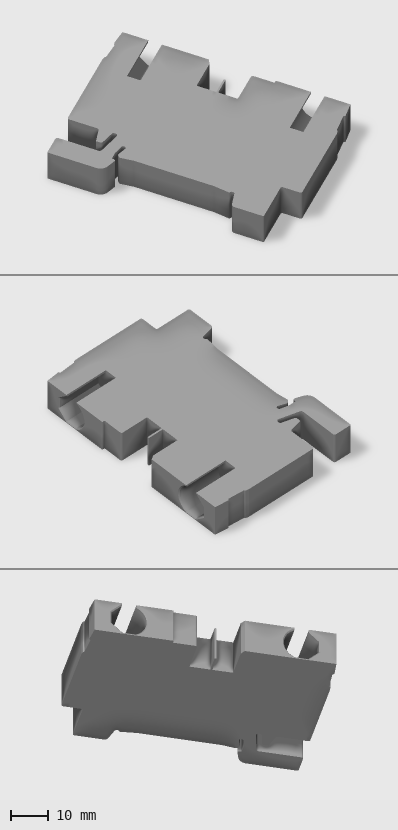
import cadquery as cq
import math

length = 67.8
depth = 48.0
thickness = 10.1
half_length = length / 2

shoulder_y = -10.25
body_bottom_y = -34.7
top_inset = 0.95
ridge_y = -4.4
ridge_inset = 0.5
ridge_height = 0.35
shoulder_inset = 0.55
shoulder_bevel = 0.2
lead_in_inset = 0.2
lead_in_length = 1.0
small_round = 0.3

recess_left = -7.2
recess_right = 4.75
recess_floor_y = -10.05
recess_bevel_x = 0.8
recess_bevel_y = 1.35
low_step_drop = 0.8
low_step_end = 11.4
blade_x = -1.2
blade_width = 0.55
blade_tip_y = -5.0

seat_y = -41.6
seat_half = 11.6
lip_y = -42.2
fixed_foot_right = 28.0
fixed_foot_bottom_y = -46.45
foot_top_y = -42.05
tooth_tip_y = -39.1
outer_relief_top_y = -34.5
outer_relief_round = 0.6
inner_relief_top_y = -37.9
inner_relief_round = 0.55
foot_tip_y = -43.25
foot_neck_x = -17.3
corner_round = 0.55
tip_round = 0.4
elbow_inner_round = 0.75
elbow_outer_round = 2.7
fixed_foot_round = 0.95

slot_center = 23.5
slot_width = 3.9
entry_depth = 14.2
bore_half_height = 4.5
bore_half_width = 4.8
bore_flat_half = 1.8
bore_wall_half = 1.7
mouth_chamfer = 0.35


def end_wall(side):
    """Corners of one end wall from the wiring edge downwards; side is -1 (left) or +1 (right)."""
    offsets = [
        (top_inset, 0, 0),
        (ridge_inset, ridge_y, 0),
        (top_inset, ridge_y - ridge_height, 0),
        (shoulder_inset, shoulder_y + shoulder_bevel, 0),
        (lead_in_inset, shoulder_y, 0),
        (0, shoulder_y - lead_in_length, 0),
        (0, body_bottom_y, corner_round),
    ]
    return [(side * (half_length - inset), y, r) for inset, y, r in offsets]


def sprung_foot():
    """Corners of the tooth, the sprung foot and the two relief slots, from left to right."""
    tooth = [
        (-24.75, body_bottom_y, corner_round),
        (-23.65, tooth_tip_y, 0),
        (-22.0, tooth_tip_y, corner_round),
    ]
    outer_relief = [
        (-20.75, outer_relief_top_y, outer_relief_round),
        (-19.1, outer_relief_top_y, outer_relief_round),
    ]
    foot = [
        (-21.1, foot_top_y, elbow_inner_round),
        (-half_length, foot_top_y, corner_round),
        (-half_length, -depth, small_round),
        (-17.75, -depth, elbow_outer_round),
        (-16.1, foot_tip_y, tip_round),
        (foot_neck_x, foot_tip_y, 0),
    ]
    inner_relief = [
        (foot_neck_x, -40.9, 0),
        (-16.55, inner_relief_top_y, inner_relief_round),
        (-15.2, inner_relief_top_y, inner_relief_round),
        (-16.4, -41.3, corner_round),
        (-15.6, lip_y, corner_round),
    ]
    return tooth + outer_relief + foot + inner_relief


def fixed_foot():
    """Corners of the rail seat and the fixed foot, from left to right."""
    return [
        (-seat_half, seat_y, 0),
        (seat_half, seat_y, 0),
        (16.2, lip_y, small_round),
        (16.6, seat_y, 0),
        (17.5, seat_y, corner_round),
        (18.7, fixed_foot_bottom_y, fixed_foot_round),
        (fixed_foot_right, fixed_foot_bottom_y, tip_round),
        (fixed_foot_right, body_bottom_y, corner_round),
    ]


def wiring_edge():
    """Corners of the upper edge and its central recess, from right to left."""
    return [
        (low_step_end, 0, small_round),
        (low_step_end, -low_step_drop, 0),
        (recess_right, -low_step_drop, corner_round),
        (recess_right, recess_floor_y, 0),
        (recess_left, recess_floor_y, 0),
        (recess_left, -recess_bevel_y, 0),
        (recess_left - recess_bevel_x, 0, 0),
    ]


def rounded_outline(corners):
    """Closed wire through (x, y, radius) corners; a radius above 0 becomes a tangent arc."""
    spans = []
    for i, (x, y, radius) in enumerate(corners):
        corner = cq.Vector(x, y)
        before = (cq.Vector(*corners[i - 1][:2]) - corner).normalized()
        after = (cq.Vector(*corners[(i + 1) % len(corners)][:2]) - corner).normalized()
        half_angle = before.getAngle(after) / 2
        setback = radius / math.tan(half_angle)
        bulge = radius / math.sin(half_angle) - radius
        middle = corner + (before + after).normalized() * bulge
        spans.append((radius, corner + before * setback, middle, corner + after * setback))

    sketch = cq.Workplane("XY").moveTo(*spans[0][3].toTuple()[:2])
    for radius, start, middle, end in spans[1:] + spans[:1]:
        sketch = sketch.lineTo(start.x, start.y)
        if radius > 0:
            sketch = sketch.threePointArc((middle.x, middle.y), (end.x, end.y))
    return sketch.close()


def bore_profile(side, y):
    """Bore section at depth y: round on the inner side, flat with sloped corners on the outer side."""
    return (
        cq.Workplane("XZ", origin=(side * slot_center, y, thickness / 2))
        .moveTo(-side * bore_flat_half, bore_half_height)
        .threePointArc((-side * bore_half_width, 0), (-side * bore_flat_half, -bore_half_height))
        .lineTo(side * bore_flat_half, -bore_half_height)
        .lineTo(side * bore_half_width, -bore_wall_half)
        .lineTo(side * bore_half_width, bore_wall_half)
        .lineTo(side * bore_flat_half, bore_half_height)
        .close()
    )


def wire_entry(side):
    """Material removed by one wire entry: bore, flared mouth and the slot above."""
    bore = bore_profile(side, 0).extrude(entry_depth)
    mouth = bore_profile(side, -mouth_chamfer).extrude(-mouth_chamfer, taper=-45)
    slot = (
        cq.Workplane("XY", origin=(side * slot_center, -entry_depth / 2, thickness / 2))
        .box(slot_width, entry_depth, thickness / 2, centered=(True, True, False))
    )
    return bore.union(mouth).union(slot)


outline = end_wall(-1) + sprung_foot() + fixed_foot() + end_wall(1)[::-1] + wiring_edge()
housing = rounded_outline(outline).extrude(thickness)

blade_length = blade_tip_y - recess_floor_y
blade = (
    cq.Workplane("XY", origin=(blade_x, recess_floor_y, 0))
    .box(blade_width, blade_length, thickness, centered=(True, False, False))
)

result = housing.union(blade)
for side in (-1, 1):
    result = result.cut(wire_entry(side))